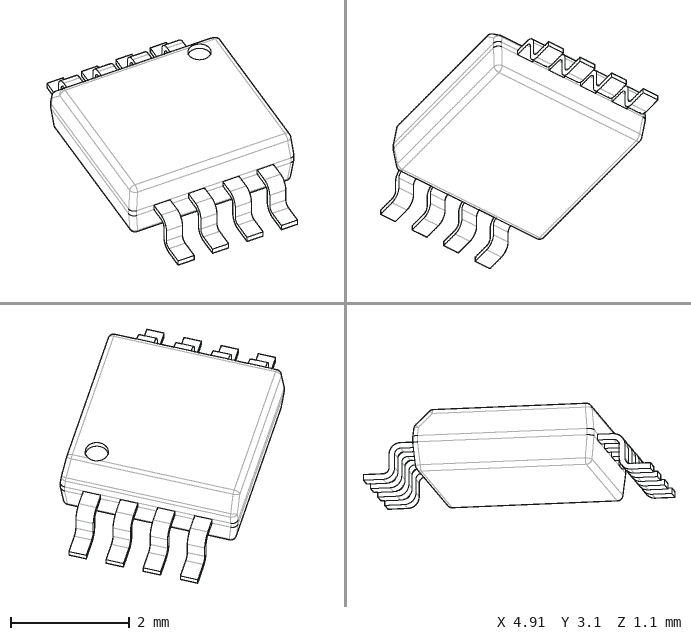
import cadquery as cq
import math

body_width = 3.1
total_height = 1.1
standoff = 0.05
lower_height = 0.475
draft_angle = 6
edge_radius = 0.1
belt_height = 0.11
bevel_top_x = -1.24
bevel_angle = 45

mark_diameter = 0.39
mark_depth = 0.1
mark_offset = 1.03

lead_span = 4.91
lead_thickness = 0.1
lead_width = 0.305
lead_pitch = 0.65
leads_per_side = 4
foot_length = 0.34
bend_radius = 0.195

belt_bottom = standoff + lower_height
belt_top = belt_bottom + belt_height
upper_height = total_height - belt_top
lead_top = belt_bottom + lead_thickness


def tapered_half(start_z, height):
    """Half of the body, narrowing away from the belt (height is negative below it)."""
    return (
        cq.Workplane("XY", origin=(0, 0, start_z))
        .rect(body_width, body_width)
        .extrude(height, taper=draft_angle)
    )


def bevel_cutter():
    """Wedge that removes the upper edge of the body along its -X side."""
    reach = upper_height
    rise = reach * math.tan(math.radians(bevel_angle))
    return (
        cq.Workplane("XZ")
        .moveTo(bevel_top_x, total_height)
        .lineTo(bevel_top_x - reach, total_height - rise)
        .lineTo(bevel_top_x - reach, total_height)
        .close()
        .extrude(body_width / 2, both=True)
    )


def make_belt():
    return (
        cq.Workplane("XY", origin=(0, 0, belt_bottom))
        .rect(body_width, body_width)
        .extrude(belt_height)
        .edges("|Z")
        .fillet(edge_radius)
    )


def make_body():
    upper = tapered_half(belt_top, upper_height).cut(bevel_cutter())
    upper = upper.edges("not(<Z)").fillet(edge_radius)
    lower = tapered_half(belt_bottom, -lower_height).edges("not(>Z)").fillet(edge_radius)
    body = make_belt().union(upper).union(lower)
    mark = (
        cq.Workplane("XY", origin=(-mark_offset, mark_offset, total_height - mark_depth))
        .circle(mark_diameter / 2)
        .extrude(mark_depth)
    )
    return body.cut(mark)


def make_lead(side, y):
    """One gull-wing lead on the +X (side = 1) or -X (side = -1) face of the belt."""
    inner_radius = bend_radius - lead_thickness
    tip = lead_span / 2
    foot_start = tip - foot_length
    riser_inner = foot_start - bend_radius
    riser_outer = riser_inner + lead_thickness
    shoulder_end = riser_outer - bend_radius
    upper_bend_z = lead_top - bend_radius
    lower_bend_z = bend_radius
    diagonal = math.sqrt(0.5)

    def bend_middle(centre_x, centre_z, radius, toward):
        offset = toward * radius * diagonal
        return (side * (centre_x + offset), centre_z + offset)

    return (
        cq.Workplane("XZ", origin=(0, y, 0))
        .moveTo(side * body_width / 2, lead_top)
        .lineTo(side * shoulder_end, lead_top)
        .threePointArc(
            bend_middle(shoulder_end, upper_bend_z, bend_radius, 1),
            (side * riser_outer, upper_bend_z),
        )
        .lineTo(side * riser_outer, lower_bend_z)
        .threePointArc(
            bend_middle(foot_start, lower_bend_z, inner_radius, -1),
            (side * foot_start, lead_thickness),
        )
        .lineTo(side * tip, lead_thickness)
        .lineTo(side * tip, 0)
        .lineTo(side * foot_start, 0)
        .threePointArc(
            bend_middle(foot_start, lower_bend_z, bend_radius, -1),
            (side * riser_inner, lower_bend_z),
        )
        .lineTo(side * riser_inner, upper_bend_z)
        .threePointArc(
            bend_middle(shoulder_end, upper_bend_z, inner_radius, 1),
            (side * shoulder_end, belt_bottom),
        )
        .lineTo(side * body_width / 2, belt_bottom)
        .close()
        .extrude(lead_width / 2, both=True)
    )


body = make_body()
leads = []
for side in (-1, 1):
    for index in range(leads_per_side):
        y = (index - (leads_per_side - 1) / 2) * lead_pitch
        leads.append(make_lead(side, y).val())

result = cq.Compound.makeCompound([body.val(), *leads])